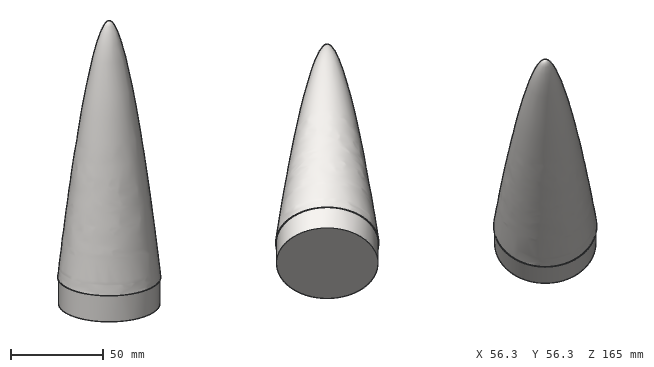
import cadquery as cq

total_height = 165.0
cone_diameter = 56.3
collar_diameter = 55.3
collar_height = 15.3

cone_radius = cone_diameter / 2
collar_radius = collar_diameter / 2

tip_control_radius = 11.2
flank_control_radius = 25.4
flank_control_height = 40.0


def half_profile():
    """Closed half section in the XZ plane, revolved about the Z axis."""
    return (
        cq.Workplane("XZ")
        .moveTo(0, total_height)
        .bezier(
            [
                (0, total_height),
                (tip_control_radius, total_height),
                (flank_control_radius, flank_control_height),
                (cone_radius, collar_height),
            ]
        )
        .lineTo(collar_radius, collar_height)
        .lineTo(collar_radius, 0)
        .lineTo(0, 0)
        .close()
    )


result = half_profile().revolve(360, (0, 0, 0), (0, 1, 0))